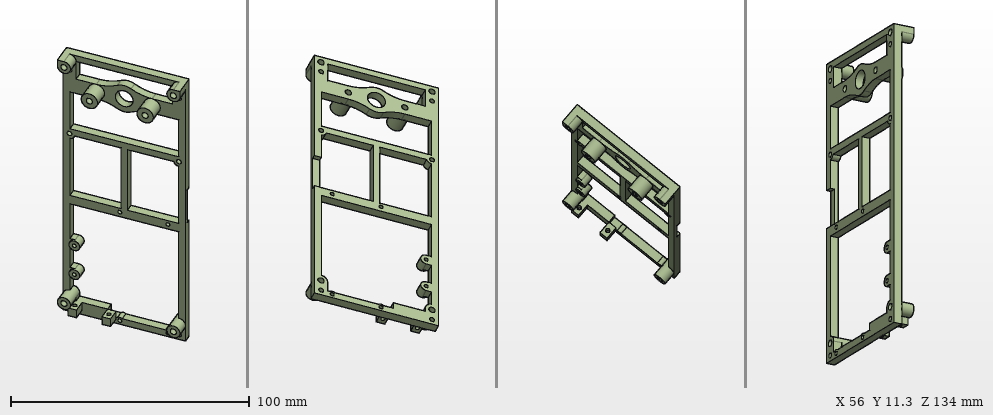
import cadquery as cq
import math

WIDTH = 56.0
HEIGHT = 134.0
PLATE_THICKNESS = 3.9
RAIL_WIDTH = 3.2
LEFT = -WIDTH / 2
INNER_X = WIDTH / 2 - RAIL_WIDTH

CORNER_POST_DIAMETER = 6.0
CORNER_POST_DEPTH = 9.8
CORNER_HOLE_DIAMETER = 2.8
CORNER_INSET = CORNER_POST_DIAMETER / 2
POST_X = WIDTH / 2 - CORNER_INSET
TOP_POST_Z = HEIGHT - CORNER_INSET
BOTTOM_POST_Z = 8.0
PAD_INNER_X = WIDTH / 2 - CORNER_POST_DIAMETER

BOTTOM_BAR_TOP = 3.2
LOWER_BAR_BOTTOM = 56.0
LOWER_BAR_TOP = 60.5
UPPER_BAR_BOTTOM = 91.9
UPPER_BAR_TOP = UPPER_BAR_BOTTOM + RAIL_WIDTH
TOP_BAR_BOTTOM = HEIGHT - CORNER_INSET
DIVIDER_WIDTH = 3.0

SHAFT_Z = 118.0
SHAFT_HOLE_DIAMETER = 8.0
SHAFT_BAR_WIDTH = 7.5
SWELL_RADIUS = 6.8
SHAFT_POST_X = 12.7
SHAFT_POST_DIAMETER = SHAFT_BAR_WIDTH
SHAFT_POST_DEPTH = 11.3
SHAFT_POST_HOLE_DIAMETER = 2.8

RAIL_HOLE_DIAMETER = 2.1
RAIL_HOLE_TAB_Z = 92.6
RAIL_HOLE_HEIGHTS = (2.5, RAIL_HOLE_TAB_Z, 125.7)
RAIL_HOLE_TAB_DIAMETER = 5.0

PIN_HOLE_DIAMETER = 1.7
PIN_HOLE_XS = (-2.0, 20.0)
LOWER_BAR_PIN_Z = 58.4
BOTTOM_BAR_PIN_Z = 1.9
PIN_TAB_DIAMETER = 3.5

STANDOFF_DIAMETER = 5.0
STANDOFF_DEPTH = 4.8
STANDOFF_HOLE_DIAMETER = 1.7
STANDOFF_X = LEFT + 5.6
STANDOFF_HEIGHTS = (20.5, 35.5)

LUG_WIDTH = 3.9
LUG_BOTTOM = 2.3
LUG_TOP = 6.3
LUG_DEPTH = 9.8
LUG_CENTERS = (LEFT + 6.8, LEFT + 22.4)
LUG_HOLE_DIAMETER = 1.7
LUG_HOLE_Y = -7.0

NOTCH_DEPTH = 2.0
NOTCH_HEIGHT = 17.0


def box(x0, x1, z0, z1, depth=PLATE_THICKNESS):
    """Block from the back face toward -Y."""
    return cq.Workplane("XY").box(x1 - x0, depth, z1 - z0, centered=False).translate((x0, -depth, z0))


def cylinder(x, z, diameter, depth=PLATE_THICKNESS):
    """Round bar from the back face toward -Y."""
    return cq.Workplane("XZ").center(x, z).circle(diameter / 2).extrude(depth)


def frame():
    """Outer rails, straight cross bars, divider and corner pads."""
    body = box(LEFT, -LEFT, 0, HEIGHT)
    body = body.cut(box(-INNER_X, INNER_X, BOTTOM_BAR_TOP, LOWER_BAR_BOTTOM))
    body = body.cut(box(-INNER_X, INNER_X, LOWER_BAR_TOP, UPPER_BAR_BOTTOM))
    body = body.cut(box(-INNER_X, INNER_X, UPPER_BAR_TOP, TOP_BAR_BOTTOM))
    body = body.union(box(-DIVIDER_WIDTH / 2, DIVIDER_WIDTH / 2, LOWER_BAR_BOTTOM, UPPER_BAR_TOP))
    for x0, x1 in ((LEFT, -PAD_INNER_X), (PAD_INNER_X, -LEFT)):
        body = body.union(box(x0, x1, 0, BOTTOM_POST_Z))
        body = body.union(box(x0, x1, SHAFT_Z, HEIGHT))
    return body


def shaft_bar():
    """Bar whose edges flow through tangent arcs into a round swelling at the shaft."""
    half = SHAFT_BAR_WIDTH / 2
    hollow_radius = (SHAFT_POST_X**2 + half**2 - SWELL_RADIUS**2) / (2 * (SWELL_RADIUS - half))
    meet_angle = math.atan2(half + hollow_radius, SHAFT_POST_X)
    meet_x = SWELL_RADIUS * math.cos(meet_angle)
    meet_z = SWELL_RADIUS * math.sin(meet_angle)
    hollow_angle = (meet_angle + math.pi / 2) / 2
    hollow_x = SHAFT_POST_X - hollow_radius * math.cos(hollow_angle)
    hollow_z = half + hollow_radius - hollow_radius * math.sin(hollow_angle)
    return (
        cq.Workplane("XZ", origin=(0, 0, SHAFT_Z))
        .moveTo(-INNER_X, half)
        .lineTo(-SHAFT_POST_X, half)
        .threePointArc((-hollow_x, hollow_z), (-meet_x, meet_z))
        .threePointArc((0, SWELL_RADIUS), (meet_x, meet_z))
        .threePointArc((hollow_x, hollow_z), (SHAFT_POST_X, half))
        .lineTo(INNER_X, half)
        .lineTo(INNER_X, -half)
        .lineTo(SHAFT_POST_X, -half)
        .threePointArc((hollow_x, -hollow_z), (meet_x, -meet_z))
        .threePointArc((0, -SWELL_RADIUS), (-meet_x, -meet_z))
        .threePointArc((-hollow_x, -hollow_z), (-SHAFT_POST_X, -half))
        .lineTo(-INNER_X, -half)
        .close()
        .extrude(PLATE_THICKNESS)
    )


def lugs():
    """Raised stretch of the bottom bar and the two lugs on its front face."""
    near_lug_x, far_lug_x = LUG_CENTERS
    body = box(LEFT, far_lug_x - LUG_WIDTH / 2, 0, LUG_TOP)
    for x in (near_lug_x, far_lug_x):
        x0 = x - LUG_WIDTH / 2
        x1 = x + LUG_WIDTH / 2
        lug = box(x0, x1, LUG_BOTTOM, LUG_TOP, LUG_DEPTH)
        lug = lug.cut(box(x0, x1, LUG_BOTTOM, LUG_TOP))
        body = body.union(lug)
    return body


body = frame().union(shaft_bar()).union(lugs())

for side in (-1, 1):
    x = side * POST_X
    body = body.union(cylinder(x, BOTTOM_POST_Z, CORNER_POST_DIAMETER, CORNER_POST_DEPTH))
    body = body.union(cylinder(x, TOP_POST_Z, CORNER_POST_DIAMETER, CORNER_POST_DEPTH))
    x0, x1 = sorted((x, side * WIDTH / 2))
    body = body.union(box(x0, x1, TOP_POST_Z, HEIGHT, CORNER_POST_DEPTH))
    body = body.union(cylinder(side * SHAFT_POST_X, SHAFT_Z, SHAFT_POST_DIAMETER, SHAFT_POST_DEPTH))
    body = body.union(cylinder(x, RAIL_HOLE_TAB_Z, RAIL_HOLE_TAB_DIAMETER))

for z in STANDOFF_HEIGHTS:
    half_tab = STANDOFF_DIAMETER / 2
    body = body.union(box(LEFT, STANDOFF_X, z - half_tab, z + half_tab))
    body = body.union(cylinder(STANDOFF_X, z, STANDOFF_DIAMETER, STANDOFF_DEPTH))

for x in PIN_HOLE_XS:
    body = body.union(cylinder(x, BOTTOM_BAR_PIN_Z, PIN_TAB_DIAMETER))

body = body.cut(cylinder(0, SHAFT_Z, SHAFT_HOLE_DIAMETER))

for side in (-1, 1):
    for z in (BOTTOM_POST_Z, TOP_POST_Z):
        body = body.cut(cylinder(side * POST_X, z, CORNER_HOLE_DIAMETER, CORNER_POST_DEPTH))
    body = body.cut(cylinder(side * SHAFT_POST_X, SHAFT_Z, SHAFT_POST_HOLE_DIAMETER, SHAFT_POST_DEPTH))
    for z in RAIL_HOLE_HEIGHTS:
        body = body.cut(cylinder(side * POST_X, z, RAIL_HOLE_DIAMETER))

for z in STANDOFF_HEIGHTS:
    body = body.cut(cylinder(STANDOFF_X, z, STANDOFF_HOLE_DIAMETER, STANDOFF_DEPTH))

for x in PIN_HOLE_XS:
    for z in (BOTTOM_BAR_PIN_Z, LOWER_BAR_PIN_Z):
        body = body.cut(cylinder(x, z, PIN_HOLE_DIAMETER))

for x in LUG_CENTERS:
    lug_hole = cq.Workplane("XY", origin=(x, LUG_HOLE_Y, LUG_BOTTOM)).circle(LUG_HOLE_DIAMETER / 2)
    body = body.cut(lug_hole.extrude(LUG_TOP - LUG_BOTTOM))

notch = box(INNER_X, WIDTH / 2, LOWER_BAR_TOP, LOWER_BAR_TOP + NOTCH_HEIGHT, NOTCH_DEPTH)
result = body.cut(notch)